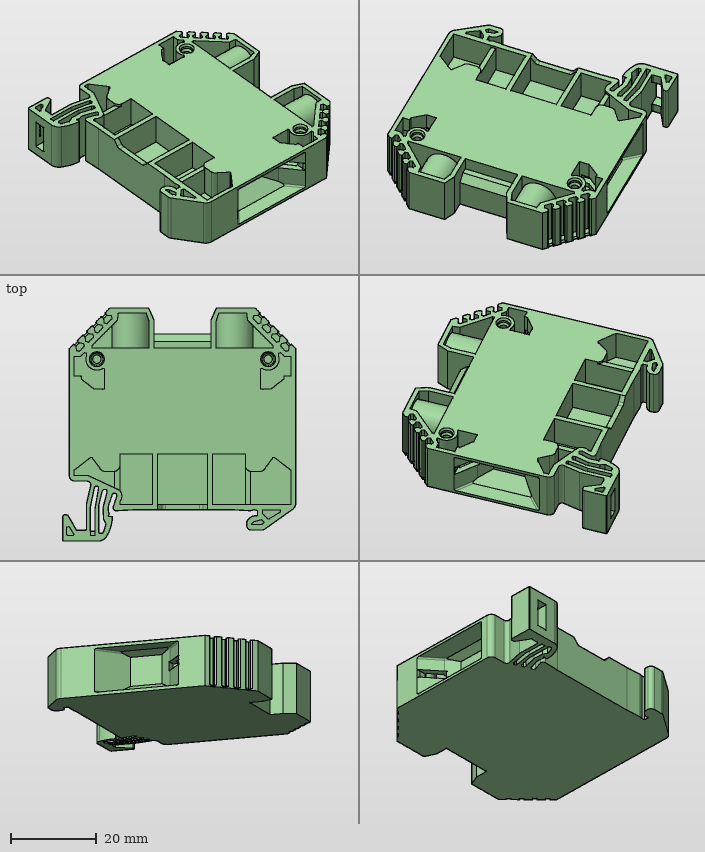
import cadquery as cq
import math

thickness = 12.1
half_width = 26.5
total_width = 54.5
total_height = 54.5
foot_left = half_width - total_width
plate_top = 45.2
base_inner = 8.6
base_outer = 7.3
pocket_floor = 4.45
pocket_half_width = 25.4

shoulder_corner_y = 44.95
shoulder_top_x = half_width - (total_height - shoulder_corner_y)
groove_count = 4
groove_pitch = 3.05
first_groove = 2.05
mouth_width = 1.1
mouth_depth = 0.7
undercut_width = 2.35
undercut_depth = 1.5
groove_bottom_width = 1.75
groove_depth = 2.1
groove_floor = 0.45
groove_lip = 0.15
lip_depth = 0.25
head_bevel = 0.4

hole_x = 20.0
hole_y = 42.5
boss_radius = 2.55
hole_profile = [(0, 0), (1.75, 0), (1.4, -0.55), (1.4, -1.1), (1.0, -1.65), (1.0, -5.45), (0, -5.45)]

sleeve_x = 12.1
sleeve_z = 6.75
sleeve_radius = 4.4
tower_inner_top = 53.35

bay_half_width = 6.65
bridge_overlap = 0.2
bridge_half_width = bay_half_width + bridge_overlap
bridge_end = 48.4
bridge_bevel_start = 46.6
bridge_top = 8.7
bridge_edge = 7.1

compartment_top = 20.4
rib_inner = 14.65
rib_outer = 15.85
rib_top = thickness - 0.6
side_compartment_inner = 7.05
middle_half_width = 5.85
window_floor = 10.45
window_floor_half_width = 4.4
window_corner_radius = 1.1

funnel_low = 0.75
funnel_high = 11.3
funnel_end_x = 19.1
funnel_end_low = 3.25
funnel_end_high = 10.25
test_slot_low = 5.7
test_slot_high = 7.85
test_slot_end = -18.75
test_slot_near_y = 33.95
funnel_upper_y = 38.35
funnel_corner_radius = 0.4

slit_left = -25.2
slit_right = -22.45
slit_low = 2.4
slit_high = 9.6
slit_top = 4.9


def prism(points, bottom=0.0, top=thickness):
    """Vertical prism over a closed polygon in the XY plane."""
    return cq.Workplane("XY").workplane(offset=bottom).polyline(points).close().extrude(top - bottom)


def box(x0, x1, y0, y1, z0, z1):
    return cq.Workplane("XY").box(x1 - x0, y1 - y0, z1 - z0, centered=False).translate((x0, y0, z0))


def both_sides(solid):
    """The solid together with its mirror image across X = 0."""
    return solid.union(solid.mirror("YZ"))


def housing():
    outline = (
        cq.Workplane("XY")
        .moveTo(-half_width, shoulder_corner_y)
        .lineTo(-shoulder_top_x, total_height)
        .lineTo(-7.9, total_height)
        .lineTo(-bay_half_width, 51.65)
        .lineTo(-bay_half_width, plate_top)
        .lineTo(bay_half_width, plate_top)
        .lineTo(bay_half_width, 51.65)
        .lineTo(7.9, total_height)
        .lineTo(shoulder_top_x, total_height)
        .lineTo(half_width, shoulder_corner_y)
        .lineTo(half_width, 8.95)
        .threePointArc((26.2, 7.95), (25.55, base_outer))
        .lineTo(19.2, 2.8)
        .threePointArc((18.85, 2.6), (18.4, 2.55))
        .lineTo(16.1, 2.55)
        .threePointArc((15.3, 2.9), (15.0, 3.65))
        .lineTo(15.0, 4.6)
        .threePointArc((16.0, 5.65), (17.5, 6.0))
        .lineTo(17.5, 7.15)
        .lineTo(16.75, 7.3)
        .lineTo(15.8, 7.1)
        .lineTo(11.8, base_outer)
        .lineTo(-11.3, base_outer)
        .lineTo(-15.6, 7.1)
        .threePointArc((-16.15, 7.45), (-16.2, 8.05))
        .lineTo(-15.35, 10.5)
        .threePointArc((-15.8, 11.15), (-16.45, 10.7))
        .lineTo(-17.0, 9.05)
        .threePointArc((-17.35, 7.65), (-17.1, 6.4))
        .lineTo(-17.35, 5.8)
        .lineTo(-16.35, 5.8)
        .threePointArc((-16.7, 3.5), (-17.6, 1.3))
        .threePointArc((-18.4, 0.4), (-19.75, 0))
        .lineTo(foot_left + 0.2, 0)
        .lineTo(foot_left, 0.2)
        .lineTo(foot_left, 5.65)
        .threePointArc((-27.85, 6.05), (-27.45, 6.2))
        .lineTo(-26.8, 6.15)
        .lineTo(-24.75, 2.55)
        .lineTo(-22.65, 2.55)
        .lineTo(-22.45, 2.8)
        .lineTo(-22.45, 8.7)
        .lineTo(-21.55, 12.75)
        .threePointArc((-21.6, 13.6), (-22.35, 14.0))
        .lineTo(-25.25, 14.0)
        .threePointArc((-26.1, 14.45), (-half_width, 15.35))
        .close()
    )
    return outline.extrude(thickness)


def bridge():
    """Low ridge between the towers, bevelled along its outer edge."""
    profile = [
        (plate_top - bridge_overlap, 0),
        (bridge_end, 0),
        (bridge_end, bridge_edge),
        (bridge_bevel_start, bridge_top),
        (plate_top - bridge_overlap, bridge_top),
    ]
    return cq.Workplane("YZ").polyline(profile).close().extrude(bridge_half_width, both=True)


def shoulder_grooves():
    """T-shaped grooves across the left shoulder; local x runs along it, local y points outward."""
    corner = (-half_width, shoulder_corner_y, 0)
    across = cq.Plane(origin=corner, xDir=(1, 1, 0), normal=(0, 0, 1))
    along = cq.Plane(origin=corner, xDir=(-1, 1, 0), normal=(1, 1, 0))
    mouth_profile = [
        (mouth_depth, 0),
        (-lip_depth, 0),
        (-lip_depth, groove_lip),
        (-mouth_depth, groove_floor),
        (-mouth_depth, thickness),
        (mouth_depth, thickness),
    ]
    grooves = cq.Workplane("XY")
    for index in range(groove_count):
        middle = first_groove + index * groove_pitch
        head = [
            (middle - mouth_width / 2, -mouth_depth),
            (middle - undercut_width / 2, -undercut_depth),
            (middle - groove_bottom_width / 2, -groove_depth),
            (middle + groove_bottom_width / 2, -groove_depth),
            (middle + undercut_width / 2, -undercut_depth),
            (middle + mouth_width / 2, -mouth_depth),
        ]
        undercut = (
            cq.Workplane(across).workplane(offset=groove_floor)
            .polyline(head).close().extrude(thickness - groove_floor)
        )
        mouth = (
            cq.Workplane(along).workplane(offset=middle - mouth_width / 2)
            .polyline(mouth_profile).close().extrude(mouth_width)
        )
        bevel_outline = [
            (middle - mouth_width / 2, -head_bevel),
            (middle + mouth_width / 2, -head_bevel),
            (middle + mouth_width / 2 + 2 * head_bevel, head_bevel),
            (middle - mouth_width / 2 - 2 * head_bevel, head_bevel),
        ]
        bevels = (
            cq.Workplane(across).workplane(offset=groove_floor)
            .polyline(bevel_outline).close().extrude(thickness - groove_floor)
        )
        grooves = grooves.add(undercut).add(mouth).add(bevels)
    return grooves.combine()


def tower_pocket():
    """Pocket of the left tower, with the clamping sleeve left standing in it."""
    pocket = prism(
        [
            (-21.15, plate_top),
            (-7.8, plate_top),
            (-7.8, 51.3),
            (-8.5, tower_inner_top),
            (-15.0, tower_inner_top),
            (-15.2, 51.6),
            (-21.15, 45.65),
        ],
        pocket_floor,
    )
    sleeve = (
        cq.Workplane("XZ", origin=(-sleeve_x, tower_inner_top, sleeve_z))
        .circle(sleeve_radius).extrude(tower_inner_top - plate_top)
    )
    return pocket.cut(sleeve)


def ear_pocket():
    """Pocket wrapped around the left screw boss."""
    boss_low = (
        -hole_x + boss_radius * math.cos(math.radians(235)),
        hole_y + boss_radius * math.sin(math.radians(235)),
    )
    return (
        cq.Workplane("XY").workplane(offset=pocket_floor)
        .moveTo(-pocket_half_width, 43.1)
        .lineTo(-23.9, 43.1)
        .lineTo(-22.9, 44.05)
        .lineTo(-22.4, 43.85)
        .lineTo(-22.4, 43.4)
        .threePointArc(boss_low, (-18.65, 40.35))
        .lineTo(-18.2, 40.3)
        .lineTo(-18.2, 35.55)
        .lineTo(-20.65, 35.55)
        .lineTo(-23.65, 37.9)
        .lineTo(-23.65, 38.6)
        .lineTo(-pocket_half_width, 38.6)
        .close().extrude(thickness - pocket_floor)
    )


def screw_hole():
    """Stepped blind hole with conical shoulders, turned from its half profile."""
    half_section = cq.Workplane("XZ", origin=(-hole_x, hole_y, thickness)).polyline(hole_profile).close()
    return half_section.revolve(360, (0, 0, 0), (0, 1, 0))


def compartment_roof(sketch):
    """Upper edge shared by both side compartments, from the end wall to the inner wall (left side)."""
    return (
        sketch.lineTo(-pocket_half_width, 16.5)
        .lineTo(-21.55, 19.5)
        .lineTo(-21.15, 19.5)
        .lineTo(-19.4, 17.2)
        .threePointArc((-18.95, 16.6), (-18.2, 16.3))
        .lineTo(-15.95, 16.3)
        .threePointArc((-15.25, 16.55), (-rib_inner, 17.4))
        .lineTo(-rib_inner, compartment_top)
        .lineTo(-side_compartment_inner, compartment_top)
        .lineTo(-side_compartment_inner, base_inner)
    )


def side_compartments():
    """Left compartment above the clip arm and the plain right one, each with its low rib."""
    start = cq.Workplane("XY").workplane(offset=pocket_floor)
    left = (
        compartment_roof(start.moveTo(-pocket_half_width, 15.35))
        .lineTo(-rib_inner, base_inner)
        .lineTo(-rib_inner, 9.15)
        .threePointArc((-14.15, 10.6), (-rib_inner, 11.9))
        .lineTo(-22.0, 15.3)
        .close().extrude(thickness - pocket_floor)
    )
    right = (
        compartment_roof(start.moveTo(-pocket_half_width, base_inner))
        .close().extrude(thickness - pocket_floor).mirror("YZ")
    )
    rib = box(-rib_outer, -rib_inner, base_inner, compartment_top, 0, rib_top)
    return left.union(right).cut(both_sides(rib))


def middle_compartment():
    """Square compartment with a bevelled window in its rail-side wall."""
    pocket = box(
        -middle_half_width, middle_half_width, base_inner, compartment_top, pocket_floor, thickness
    )
    window_profile = [
        (-middle_half_width, thickness),
        (-window_floor_half_width, window_floor),
        (window_floor_half_width, window_floor),
        (middle_half_width, thickness),
    ]
    window = (
        cq.Workplane("XZ", origin=(0, base_inner, 0))
        .polyline(window_profile).close().extrude(base_inner)
        .edges("|Y and <Z").fillet(window_corner_radius)
    )
    return pocket.union(window)


def clip_foot_openings():
    spring_ledge = 2.35
    long_slot = prism(
        [
            (-21.55, spring_ledge),
            (-20.5, spring_ledge),
            (-20.5, 7.4),
            (-19.6, 12.5),
            (-19.8, 12.8),
            (-20.4, 12.8),
            (-20.55, 12.6),
            (-21.55, 7.9),
        ]
    )
    long_slot_end = box(-21.55, -20.5, 1.35, spring_ledge, pocket_floor, thickness)
    short_slot = prism(
        [
            (-19.4, 1.9),
            (-18.7, 1.9),
            (-18.5, 2.2),
            (-17.9, 4.05),
            (-18.5, 5.1),
            (-18.6, 7.85),
            (-17.65, 11.45),
            (-17.75, 12.05),
            (-18.5, 12.05),
            (-18.75, 11.7),
            (-19.55, 8.3),
            (-19.55, 2.2),
        ]
    )
    nose_pocket = prism(
        [(-27.1, 1.6), (-26.85, 1.35), (-25.45, 1.35), (-25.35, 1.65), (-26.5, 3.45), (-27.1, 3.25)],
        pocket_floor,
    )
    slit = box(slit_left, slit_right, 0, slit_top, slit_low, slit_high)
    return long_slot.union(long_slot_end).union(short_slot).union(nose_pocket).union(slit)


def fixed_foot_pockets():
    web_pocket = prism(
        [(18.65, base_outer), (22.9, base_outer), (22.9, 6.85), (20.15, 5.2), (19.95, 5.2), (18.65, 6.5)],
        pocket_floor,
    )
    lip_pocket = prism(
        [(16.1, 4.0), (16.75, 4.6), (18.5, 5.0), (19.1, 4.4), (18.55, 3.85), (16.1, 3.85)],
        pocket_floor,
    )
    return web_pocket.union(lip_pocket)


def wire_entry():
    """Funnel in the left end wall: a tapering plan outline crossed with a tapering side profile."""
    plan = prism(
        [
            (-half_width, 17.3),
            (-funnel_end_x, 23.45),
            (-funnel_end_x, 31.3),
            (-21.55, 34.35),
            (-half_width, funnel_upper_y),
        ],
        funnel_low,
        funnel_high,
    )
    plan = plan.faces(">Z or <Z").edges("not |Y").fillet(funnel_corner_radius)
    side_profile = [
        (-half_width, funnel_low),
        (-22.8, funnel_low),
        (-funnel_end_x, funnel_end_low),
        (-funnel_end_x, funnel_end_high),
        (-21.35, funnel_high),
        (-half_width, funnel_high),
    ]
    side = cq.Workplane("XZ").polyline(side_profile).close().extrude(-total_height)
    test_slot = box(
        -half_width, test_slot_end, test_slot_near_y, funnel_upper_y, test_slot_low, test_slot_high
    )
    return plan.intersect(side).union(test_slot)


result = housing().union(bridge())
for mirrored_cut in (shoulder_grooves(), tower_pocket(), ear_pocket(), screw_hole(), wire_entry()):
    result = result.cut(both_sides(mirrored_cut))
for single_cut in (side_compartments(), middle_compartment(), clip_foot_openings(), fixed_foot_pockets()):
    result = result.cut(single_cut)